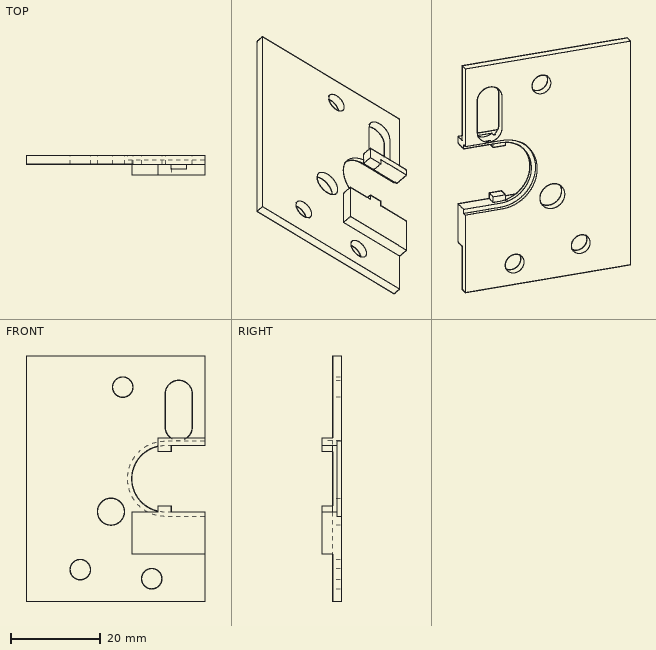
import cadquery as cq

width = 40.0
height = 55.0
plate_thickness = 2.0
total_depth = 4.4
pad_depth = total_depth - plate_thickness

opening_radius = 7.4
opening_z = height / 2
opening_left = 23.6
opening_center_x = opening_left + opening_radius
opening_top = opening_z + opening_radius
opening_bottom = opening_z - opening_radius

step_depth = 1.0
step_width = 1.0

ledge_height = 1.7
block_height = 9.45
tab_left = 29.4
tab_width = 3.0
tab_reach = 1.4

slot_width = 6.0
slot_length = 13.5
slot_x = 34.1
slot_z = 42.8
ledge_notch_depth = 1.1

small_hole = 4.5
large_hole = 6.0
holes = [
    (21.55, 48.0, small_hole),
    (18.9, 20.15, large_hole),
    (12.05, 7.15, small_hole),
    (28.05, 5.1, small_hole),
]


def box(left, right, bottom, top, front, back):
    """Box given by its limits along X, Z and Y."""
    size = (right - left, back - front, top - bottom)
    return cq.Workplane("XY").box(*size, centered=False).translate((left, front, bottom))


def cylinder(x, z, diameter, front=0):
    """Cutter along Y from the given front position to the back of the plate."""
    sketch = cq.Workplane("XZ", origin=(x, front, z)).circle(diameter / 2)
    return sketch.extrude(front - plate_thickness)


def open_slot(radius, front):
    """Cutter for a round-ended opening that runs out through the right edge."""
    round_end = cylinder(opening_center_x, opening_z, 2 * radius, front)
    straight_part = box(
        opening_center_x, width, opening_z - radius, opening_z + radius, front, plate_thickness
    )
    return round_end.union(straight_part)


plate = box(0, width, 0, height, 0, plate_thickness)
plate = plate.cut(open_slot(opening_radius, 0))
plate = plate.cut(open_slot(opening_radius + step_width, plate_thickness - step_depth))
for hole_x, hole_z, diameter in holes:
    plate = plate.cut(cylinder(hole_x, hole_z, diameter))

tab_right = tab_left + tab_width
ledge_top = opening_top + ledge_height
block_bottom = opening_bottom - block_height
ledge = box(tab_left, width, opening_top, ledge_top, -pad_depth, 0)
upper_tab = box(tab_left, tab_right, opening_top - tab_reach, ledge_top, -pad_depth, 0)
block = box(opening_left, width, block_bottom, opening_bottom, -pad_depth, 0)
lower_tab = box(tab_left, tab_right, block_bottom, opening_bottom + tab_reach, -pad_depth, 0)

slot = (
    cq.Workplane("XZ", origin=(slot_x, -ledge_notch_depth, slot_z))
    .slot2D(slot_length, slot_width, 90)
    .extrude(-(plate_thickness + ledge_notch_depth))
)

body = plate.union(ledge).union(upper_tab).union(block).union(lower_tab).cut(slot)

result = body.translate((-width / 2, pad_depth - total_depth / 2, -height / 2))